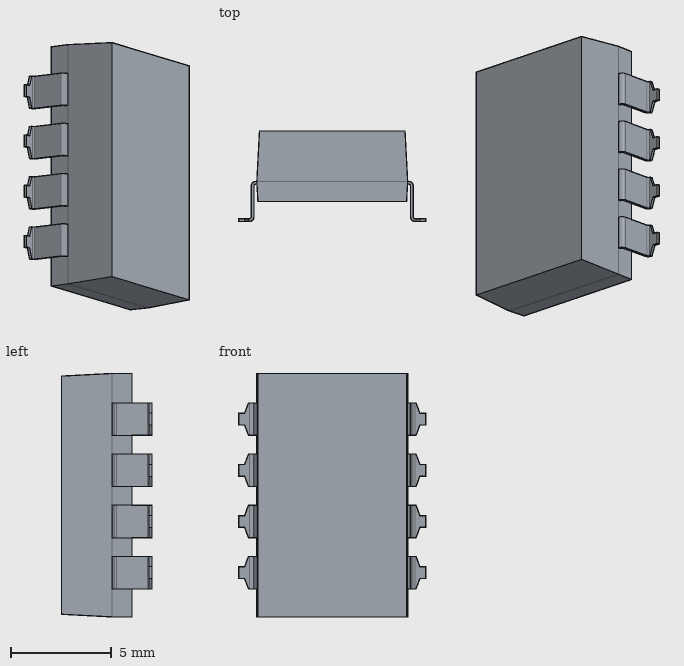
import cadquery as cq
import math

body_length = 12.09
body_width = 7.5
back_depth = 2.5
front_depth = 1.0
draft_angle = 3.0

leads_per_row = 4
lead_pitch = 2.54
lead_offset = -0.04
lead_width = 1.62
lead_thickness = 0.15
bend_inner_radius = 0.08
lead_span = 9.3
lead_inner_x = 3.88
standoff = 0.99
lead_embed = 0.6

tip_width = 0.59
taper_start_x = 4.16
taper_end_x = 4.35

bend_outer_radius = bend_inner_radius + lead_thickness
foot_front_y = -(front_depth + standoff)
tip_x = lead_span / 2


def back_half():
    """Back half of the body, drafted on all four sides towards +Y."""
    plane = cq.Plane(origin=(0, 0, 0), xDir=(1, 0, 0), normal=(0, 1, 0))
    return cq.Workplane(plane).rect(body_width, body_length).extrude(back_depth, taper=draft_angle)


def front_half():
    """Front half of the body, drafted towards -Y on its long sides only."""
    side_inset = front_depth * math.tan(math.radians(draft_angle))
    parting_x = body_width / 2
    face_x = parting_x - side_inset
    return (
        cq.Workplane("XY")
        .polyline([(-parting_x, 0), (-face_x, -front_depth), (face_x, -front_depth), (parting_x, 0)])
        .close()
        .extrude(body_length / 2, both=True)
    )


def bent_strip():
    """Lead profile in X and Y, extruded to the lead width and centred on Z = 0."""
    start_x = body_width / 2 - lead_embed
    outer_x = lead_inner_x + lead_thickness
    shoulder_x = lead_inner_x - bend_inner_radius
    foot_x = outer_x + bend_inner_radius
    shoulder_y = -bend_outer_radius
    foot_y = foot_front_y + bend_outer_radius
    diagonal = math.sqrt(0.5)
    inner_mid = bend_inner_radius * diagonal
    outer_mid = bend_outer_radius * diagonal
    return (
        cq.Workplane("XY")
        .moveTo(start_x, 0)
        .lineTo(shoulder_x, 0)
        .threePointArc((shoulder_x + outer_mid, shoulder_y + outer_mid), (outer_x, shoulder_y))
        .lineTo(outer_x, foot_y)
        .threePointArc((foot_x - inner_mid, foot_y - inner_mid), (foot_x, foot_y - bend_inner_radius))
        .lineTo(tip_x, foot_front_y + lead_thickness)
        .lineTo(tip_x, foot_front_y)
        .lineTo(foot_x, foot_front_y)
        .threePointArc((foot_x - outer_mid, foot_y - outer_mid), (lead_inner_x, foot_y))
        .lineTo(lead_inner_x, shoulder_y)
        .threePointArc((shoulder_x + inner_mid, shoulder_y + inner_mid), (shoulder_x, -lead_thickness))
        .lineTo(start_x, -lead_thickness)
        .close()
        .extrude(lead_width / 2, both=True)
    )


def lead_outline():
    """Lead silhouette in X and Z, deep enough along Y to trim the bent strip."""
    half_width = lead_width / 2
    half_tip = tip_width / 2
    return (
        cq.Workplane("XZ")
        .moveTo(0, -half_width)
        .lineTo(taper_start_x, -half_width)
        .lineTo(taper_end_x, -half_tip)
        .lineTo(tip_x, -half_tip)
        .lineTo(tip_x, half_tip)
        .lineTo(taper_end_x, half_tip)
        .lineTo(taper_start_x, half_width)
        .lineTo(0, half_width)
        .close()
        .extrude(-foot_front_y)
    )


result = back_half().union(front_half())

lead = bent_strip().intersect(lead_outline())
for index in range(leads_per_row):
    lead_z = (index - (leads_per_row - 1) / 2) * lead_pitch + lead_offset
    right_lead = lead.translate((0, 0, lead_z))
    result = result.union(right_lead).union(right_lead.mirror("YZ"))